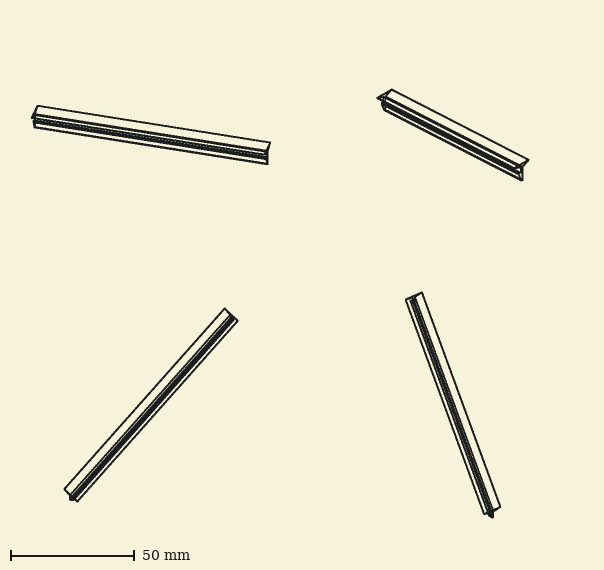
import cadquery as cq

length = 100.0
width = 7.0
height = 8.2

cap_drop = 2.2
cap_edge_thickness = 0.2

web_inset = 3.0
web_thickness = 1.0
barb_overhang = 0.9
barb_depth = 4.8
barb_lip_height = 0.5
foot_thickness = 0.6

high_edge_y = width / 2
low_edge_y = -width / 2
web_back_y = high_edge_y - web_inset
web_front_y = web_back_y - web_thickness
barb_y = web_front_y - barb_overhang
foot_y = web_back_y - foot_thickness
cap_low_z = height - cap_drop
cap_underside_z = cap_low_z - cap_edge_thickness
barb_top_z = height - barb_depth
barb_lip_z = barb_top_z - barb_lip_height

profile = [
    (high_edge_y, height),
    (low_edge_y, cap_low_z),
    (low_edge_y, cap_underside_z),
    (web_front_y, cap_underside_z),
    (web_front_y, barb_top_z),
    (barb_y, barb_top_z),
    (barb_y, barb_lip_z),
    (foot_y, 0),
    (web_back_y, 0),
    (web_back_y, cap_underside_z),
]

result = cq.Workplane("YZ").polyline(profile).close().extrude(length / 2, both=True)